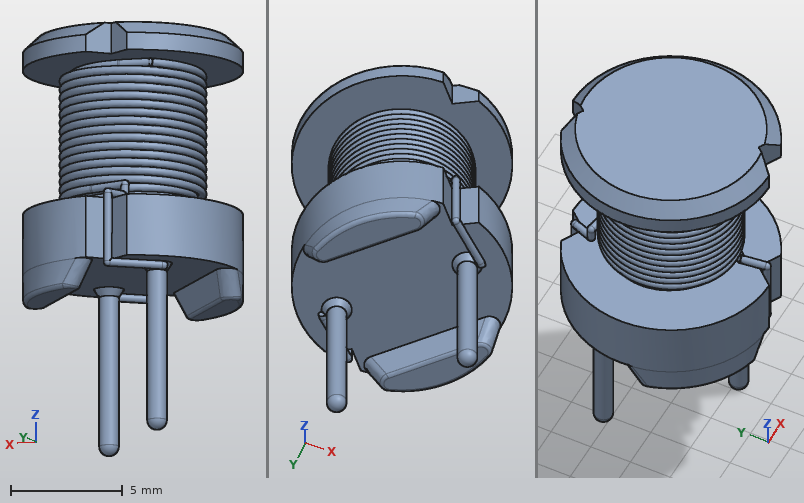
import cadquery as cq
import math


core_radius = 4.945
core_height = 12.05
rim_height = 0.62
rim_inset = 0.65
top_flange_bottom = core_height - 1.4
shaft_radius = 2.53
base_top = 4.05
base_bottom = 1.26
notch_apex = (0.82, -4.0)
notch_reach = 1.5
notch_rim_points = ((0.0, -core_radius), (1.86, -4.58))

foot_wall_top = 2.97
foot_wall_bottom = 3.4
foot_side_fillet = 0.5
foot_bottom_fillet = 0.2

pin_radius = 0.45
pin_offset = 2.25
overall_height = 18.39
pin_bottom = core_height - overall_height
pin_embed = 2.0
solder_radius = 0.68
solder_height = 0.36

wire_radius = 0.185
joint_radius = 1.02 * wire_radius
gap = 0.01
layer_step = 0.39
inner_radius = shaft_radius + wire_radius + gap
outer_radius = inner_radius + layer_step
wire_top = top_flange_bottom - wire_radius - gap
lead_top = base_top + wire_radius + gap
lead_bottom = base_bottom - wire_radius - gap

inner_start_angle = -45
inner_end_angle = 102
inner_turns = 16 + (inner_end_angle - inner_start_angle) / 360
inner_pitch = (wire_top - lead_top) / inner_turns
outer_start_angle = 130
outer_end_angle = 80
outer_turns = 15 + (outer_end_angle - outer_start_angle) / 360
outer_pitch = 0.383
outer_end_height = wire_top - outer_pitch * outer_turns
inner_lead_bend = (0.68, -3.17)
outer_lead_bend = (-1.2, 3.4)
notch_wire = (0.83, -4.4)
hook_radius = pin_radius + wire_radius + gap
hook_end_angle = -30


def half_turn(body):
    return body.rotate((0, 0, 0), (0, 0, 1), 180)


def on_circle(radius, angle, height, centre=(0, 0)):
    turn = math.radians(angle)
    return (centre[0] + radius * math.cos(turn), centre[1] + radius * math.sin(turn), height)


def disc(radius, bottom, top):
    return cq.Workplane().workplane(offset=bottom).circle(radius).extrude(top - bottom)


def make_notch():
    """V-shaped prism as tall as the core at the -Y side."""
    sides = [
        tuple(apex + notch_reach * (rim - apex) for apex, rim in zip(notch_apex, rim_point))
        for rim_point in notch_rim_points
    ]
    return cq.Workplane().polyline([sides[0], notch_apex, sides[1]]).close().extrude(core_height)


def foot_section(height, wall_distance):
    """Circle segment beyond the wall on the +X side, with its two corners rounded."""
    corner_x = wall_distance + foot_side_fillet
    corner_y = math.sqrt((core_radius - foot_side_fillet) ** 2 - corner_x ** 2)
    rim_angle = math.degrees(math.atan2(corner_y, corner_x))
    mid_angle = (rim_angle + 180) / 2
    corner = (corner_x, corner_y)
    rim_end = on_circle(core_radius, rim_angle, height)
    corner_mid = on_circle(foot_side_fillet, mid_angle, height, corner)
    outline = [
        cq.Edge.makeThreePointArc(
            mirrored(rim_end), (core_radius, 0, height), rim_end),
        cq.Edge.makeThreePointArc(
            rim_end, corner_mid, (wall_distance, corner_y, height)),
        cq.Edge.makeLine(
            (wall_distance, corner_y, height), (wall_distance, -corner_y, height)),
        cq.Edge.makeThreePointArc(
            (wall_distance, -corner_y, height), mirrored(corner_mid), mirrored(rim_end)),
    ]
    return cq.Wire.assembleEdges(outline)


def mirrored(point):
    return (point[0], -point[1], point[2])


def make_foot():
    """Foot on the +X side, later turned onto the diagonal."""
    sections = [foot_section(0, foot_wall_bottom), foot_section(base_bottom, foot_wall_top)]
    foot = cq.Workplane(cq.Solid.makeLoft(sections, True))
    return foot.faces("<Z").edges().fillet(foot_bottom_fillet)


def make_core(pins):
    core = disc(shaft_radius, base_top, top_flange_bottom)
    core = core.union(disc(core_radius, base_bottom, base_top))
    top_flange = (
        disc(core_radius, top_flange_bottom, core_height)
        .faces(">Z").edges().chamfer(rim_height, rim_inset)
    )
    core = core.union(top_flange)
    notch = make_notch()
    core = core.cut(notch).cut(half_turn(notch))
    for angle in (45, 225):
        core = core.union(make_foot().rotate((0, 0, 0), (0, 0, 1), angle))
    for pin in pins:
        core = core.cut(pin)
    return core


def make_pin():
    """Round-ended pin below the base at +X, -Y."""
    return (
        disc(pin_radius, pin_bottom + pin_radius, base_bottom + pin_embed)
        .union(cq.Workplane().sphere(pin_radius).translate((0, 0, pin_bottom + pin_radius)))
        .translate((pin_offset, -pin_offset, 0))
    )


def make_solder():
    """Cone of solder between the base and the pin at +X, -Y."""
    return (
        cq.Workplane()
        .workplane(offset=base_bottom - solder_height)
        .circle(pin_radius)
        .workplane(offset=solder_height)
        .circle(solder_radius)
        .loft()
        .translate((pin_offset, -pin_offset, 0))
    )


def make_rod(start, end):
    axis = cq.Vector(end) - cq.Vector(start)
    return cq.Workplane(cq.Solid.makeCylinder(wire_radius, axis.Length, cq.Vector(start), axis))


def make_ball(point):
    return cq.Workplane().sphere(joint_radius).translate(point)


def make_coil(radius, pitch, turns, bottom, start_angle, left_handed):
    path = cq.Wire.makeHelix(pitch, pitch * turns, radius, lefthand=left_handed)
    coil = cq.Workplane("XZ").center(radius, 0).circle(wire_radius)
    coil = coil.sweep(cq.Workplane(path), isFrenet=True)
    return coil.rotate((0, 0, 0), (0, 0, 1), start_angle).translate((0, 0, bottom))


def make_lead_end():
    """Run down the -Y notch, under the base and round the outside of the pin."""
    pin_centre = (pin_offset, -pin_offset)
    to_pin = (pin_centre[0] - notch_wire[0], pin_centre[1] - notch_wire[1])
    distance = math.hypot(*to_pin)
    heading = math.degrees(math.atan2(to_pin[1], to_pin[0]) - math.asin(hook_radius / distance))
    hook_start_angle = heading - 90
    hook_start = on_circle(hook_radius, hook_start_angle, lead_bottom, pin_centre)
    upper = (*notch_wire, lead_top)
    lower = (*notch_wire, lead_bottom)
    hook = (
        cq.Workplane("XZ")
        .center(hook_radius, 0)
        .circle(wire_radius)
        .revolve(hook_end_angle - hook_start_angle, (-hook_radius, 0, 0), (-hook_radius, -1, 0))
    )
    hook = hook.rotate((0, 0, 0), (0, 0, 1), hook_end_angle)
    hook = hook.translate((*pin_centre, lead_bottom))
    return (
        make_rod(upper, lower)
        .union(make_ball(upper))
        .union(make_ball(lower))
        .union(make_rod(lower, hook_start))
        .union(hook)
    )


def add_path(body, points):
    """Join straight lengths of wire through the points, rounded at every bend."""
    for start, end in zip(points, points[1:]):
        body = body.union(make_ball(start)).union(make_rod(start, end))
    return body.union(make_ball(points[-1]))


def make_wire():
    inner_coil = make_coil(inner_radius, inner_pitch, inner_turns, lead_top, inner_start_angle, False)
    outer_coil = make_coil(outer_radius, outer_pitch, outer_turns, outer_end_height, outer_end_angle, True)
    inner_lead = [
        (*notch_wire, lead_top),
        (*inner_lead_bend, lead_top),
        on_circle(inner_radius, inner_start_angle, lead_top),
    ]
    crossover = [
        on_circle(inner_radius, inner_end_angle, wire_top),
        on_circle(outer_radius, outer_start_angle, wire_top),
    ]
    outer_lead = [
        on_circle(outer_radius, outer_end_angle, outer_end_height),
        (*outer_lead_bend, outer_end_height),
        (*outer_lead_bend, lead_top),
        (-notch_wire[0], -notch_wire[1], lead_top),
    ]
    wire = add_path(make_lead_end(), inner_lead)
    wire = wire.union(inner_coil)
    wire = add_path(wire, crossover)
    wire = wire.union(outer_coil)
    wire = add_path(wire, outer_lead)
    return wire.union(half_turn(make_lead_end()))


pins = [make_pin(), half_turn(make_pin())]
core = make_core(pins)
wire = make_wire()
solder_cone = make_solder()
solders = [
    solder_cone.cut(pins[0]).cut(wire),
    half_turn(solder_cone).cut(pins[1]).cut(wire),
]

bodies = [core, *pins, *solders, wire]
result = cq.Compound.makeCompound([body.solids().val() for body in bodies])